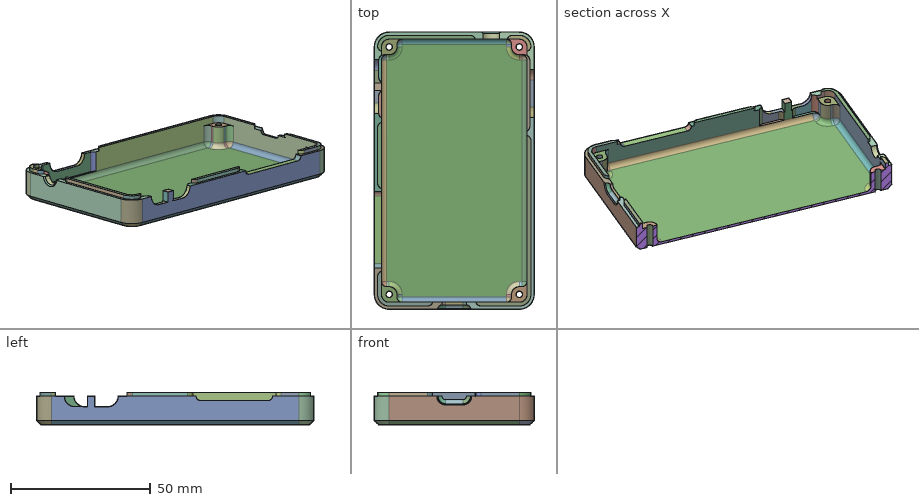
import cadquery as cq

length = 99.55
width = 57.4
total_height = 11.6
rim_height = 10.4
corner_radius = 5.4
bottom_chamfer = 1.6
wall = 2.6
floor = 1.2
floor_fillet = 1.9

lip_inset = 1.2
lip_end_radius = 2.0
lip_front_gap = 7.7
lip_back_left_end = 7.7
lip_back_right_end = 18.9
lip_upper_corner_end = 42.8
lip_left_middle = (-6.5, 17.4)
lip_left_lower_end = -36.0
lip_right_lower_end = 12.7
lip_area_depth = 5.0

boss_radius = 2.8
boss_top = 9.1
screw_hole_diameter = 2.2

thin_wall = 1.6
pocket_reach = 8.0
pocket_corner_radius = 2.0
left_pocket_end = 18.7
right_pocket_end = 13.9

control_notch_depth = 3.8
long_notch_depth = 1.6
left_control_notch = (20.5, 39.8)
right_control_notch = (19.0, 36.3)
left_long_notch = (-34.9, -7.5)
post_low = 28.9
post_high = 31.6

connector_half_flat = 3.1
connector_radius = 1.3
recess_fillet = 1.5
recess_radius = connector_radius + recess_fillet
recess_depth = 1.6
recess_flare = 0.4

jack_x = 13.2
jack_radius = 3.0
jack_rise = 0.5
jack_flare = 0.5
jack_flare_depth = 0.5

half_width = width / 2
half_length = length / 2
inner_x = half_width - wall
inner_y = half_length - wall
boss_x = half_width - corner_radius
boss_y = half_length - corner_radius
boss_face_y = boss_y - boss_radius
ledge_height = floor + floor_fillet
jack_height = rim_height + jack_rise

clearance = 1.0
tolerance = 0.01


def rounded_block(x_range, y_range, z_range, radius):
    """Upright block spanning the given ranges, with rounded vertical edges."""
    size = [high - low for low, high in (x_range, y_range, z_range)]
    corner = (x_range[0], y_range[0], z_range[0])
    block = cq.Workplane("XY").box(*size, centered=False).translate(corner)
    return block.edges("|Z").fillet(radius)


def inset_block(inset, z_range):
    """Case outline moved inwards by inset, its corners staying concentric."""
    x = half_width - inset
    y = half_length - inset
    return rounded_block((-x, x), (-y, y), z_range, corner_radius - inset)


def make_lip():
    """Lip ring kept only inside five plan areas, so each segment ends in a rounded tip."""
    z_range = (rim_height, total_height)
    ring = inset_block(lip_inset, z_range).cut(inset_block(wall, z_range))
    x = half_width - lip_inset
    y = half_length - lip_inset
    areas = [
        ((-x, lip_back_left_end), (lip_upper_corner_end, y)),
        ((lip_back_right_end, x), (lip_upper_corner_end, y)),
        ((-x, lip_area_depth - x), lip_left_middle),
        ((-x, -lip_front_gap), (-y, lip_left_lower_end)),
        ((lip_front_gap, x), (-y, lip_right_lower_end)),
    ]
    kept = cq.Workplane("XY")
    for x_range, y_range in areas:
        kept = kept.union(rounded_block(x_range, y_range, z_range, lip_end_radius))
    return ring.intersect(kept)


def on_inner_wall(edge):
    center = edge.Center()
    on_side = abs(abs(center.x) - inner_x) < tolerance
    on_end = abs(abs(center.y) - inner_y) < tolerance
    return on_side or on_end


def make_cavity():
    """Inner space: it runs around the bosses below their tops and opens out above them."""
    lower_height = boss_top - floor
    lower = (
        cq.Workplane("XY", origin=(0, 0, floor))
        .rect(2 * inner_x, 2 * inner_y)
        .extrude(lower_height)
    )
    boss_width = 2 * (corner_radius + boss_radius)
    bosses = (
        cq.Workplane("XY", origin=(0, 0, floor))
        .rect(width, length, forConstruction=True)
        .vertices()
        .rect(boss_width, boss_width)
        .extrude(lower_height)
        .edges("|Z")
        .fillet(boss_radius)
    )
    lower = lower.cut(bosses)
    boss_corners = lower.edges("|Z").filter(on_inner_wall)
    lower = boss_corners.add(lower.faces("<Z").edges()).fillet(floor_fillet)
    upper = inset_block(wall, (boss_top, total_height + clearance))
    return lower.union(upper)


def thin_wall_pocket(side, y_range):
    """Pocket that thins a side wall above the ledge; side is -1 for left, 1 for right."""
    outer = half_width - thin_wall
    x_range = sorted((side * outer, side * (outer - pocket_reach)))
    return rounded_block(x_range, y_range, (ledge_height, total_height), pocket_corner_radius)


def side_notch(side, y_range, depth):
    """Notch through a side wall; its ends are quarter circles as deep as the notch."""
    y_low, y_high = y_range
    return (
        cq.Workplane("YZ", origin=(side * inner_x, (y_low + y_high) / 2, rim_height))
        .slot2D(y_high - y_low, 2 * depth)
        .extrude(side * (wall + clearance))
    )


def left_control_opening():
    """Left control notch with a full-height post left standing in it."""
    post = (
        cq.Workplane("XY")
        .box(width + 2 * clearance, post_high - post_low, rim_height, centered=(True, False, False))
        .translate((0, post_low, 0))
    )
    return side_notch(-1, left_control_notch, control_notch_depth).cut(post)


def front_slot(radius, start_depth, extent, taper=0):
    """Slot about the rim line, running from start_depth inside the front face outwards."""
    return (
        cq.Workplane("XZ", origin=(0, start_depth - half_length, rim_height))
        .slot2D(2 * (connector_half_flat + radius), 2 * radius)
        .extrude(extent, taper=taper)
    )


def connector_opening():
    """Thin slot through the front wall, with a scooped recess and a flared outer edge."""
    slot = front_slot(connector_radius, wall + clearance, wall + clearance)
    recess = front_slot(recess_radius, recess_depth, recess_depth)
    recess = recess.faces(">Y").edges().fillet(recess_fillet)
    flare = front_slot(recess_radius, recess_flare, recess_flare, taper=-45)
    return slot.union(recess).union(flare)


def jack_opening():
    """Round notch through the back wall with a flared outer edge."""
    hole = (
        cq.Workplane("XZ", origin=(jack_x, half_length, jack_height))
        .circle(jack_radius)
        .extrude(wall + clearance)
    )
    flare = (
        cq.Workplane("XZ", origin=(jack_x, half_length, jack_height))
        .circle(jack_radius + jack_flare)
        .workplane(offset=jack_flare_depth)
        .circle(jack_radius)
        .loft()
    )
    return hole.union(flare)


def screw_holes():
    return (
        cq.Workplane("XY")
        .rect(2 * boss_x, 2 * boss_y, forConstruction=True)
        .vertices()
        .circle(screw_hole_diameter / 2)
        .extrude(boss_top)
    )


case = inset_block(0, (0, rim_height)).faces("<Z").edges().chamfer(bottom_chamfer)
case = case.union(make_lip())

cutters = [
    make_cavity(),
    thin_wall_pocket(-1, (post_high, boss_face_y)),
    thin_wall_pocket(-1, (left_pocket_end, post_low)),
    thin_wall_pocket(1, (right_pocket_end, boss_face_y)),
    left_control_opening(),
    side_notch(1, right_control_notch, control_notch_depth),
    side_notch(-1, left_long_notch, long_notch_depth),
    connector_opening(),
    jack_opening(),
    screw_holes(),
]
for cutter in cutters:
    case = case.cut(cutter)

result = case